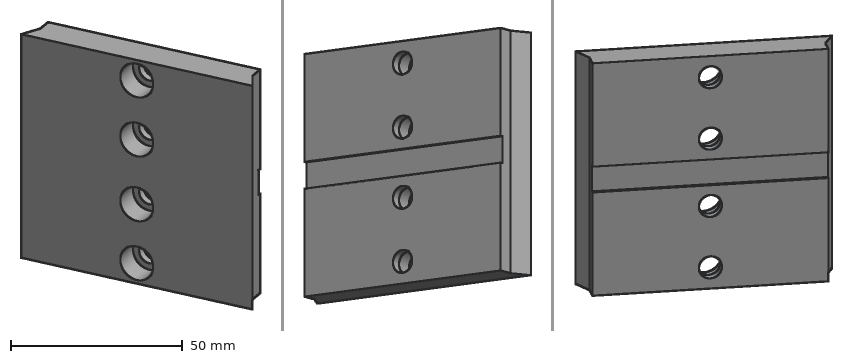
import cadquery as cq

width = 76.0
back_width = 69.8
thickness = 11.0
height = 72.0
flank_depth = 6.0

hole_diameter = 6.8
counterbore_diameter = 10.8
counterbore_depth = 8.0
inner_hole_offset = 10.4
outer_hole_offset = 29.4

groove_width = 8.0
groove_depth = 1.0

front_y = -thickness / 2
back_y = thickness / 2


def dovetail_plate():
    flank_end_y = front_y + flank_depth
    profile = [
        (-width / 2, front_y),
        (width / 2, front_y),
        (back_width / 2, flank_end_y),
        (back_width / 2, back_y),
        (-back_width / 2, back_y),
        (-back_width / 2, flank_end_y),
    ]
    plate = cq.Workplane("XY").polyline(profile).close().extrude(height)
    return plate.translate((0, 0, -height / 2))


def counterbored_hole(z):
    front = cq.Workplane("XZ", origin=(0, front_y, z))
    bore = front.circle(hole_diameter / 2).extrude(-thickness)
    counterbore = front.circle(counterbore_diameter / 2).extrude(-counterbore_depth)
    return bore.union(counterbore)


def back_groove():
    groove = cq.Workplane("XY").box(width, groove_depth, groove_width)
    return groove.translate((0, back_y - groove_depth / 2, 0))


result = dovetail_plate().cut(back_groove())
for offset in (inner_hole_offset, outer_hole_offset):
    for side in (-1, 1):
        result = result.cut(counterbored_hole(side * offset))